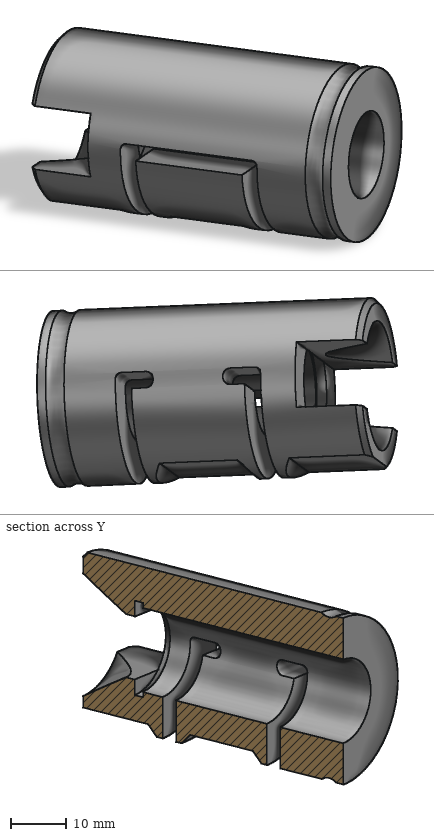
import cadquery as cq
import math

length = 60.0
outer_diameter = 32.0
outer_radius = outer_diameter / 2
bore_diameter = 16.0
counterbore_diameter = 18.0
counterbore_depth = 1.8
end_chamfer = 1.0

cross_slot_width = 12.0
cross_slot_depth = 12.0
lead_in_diameter = 23.5
lead_in_half_angle = 30.0

groove_start = 54.95
groove_end = 58.4
groove_depth = 0.55

cut_width = 3.0
tongue_center = 31.9
tongue_length = 21.0
hinge_length = 12.95
cut_corner_radius = 1.2
cut_end_radius = 1.45

flat_height = -14.0
front_flat_length = 15.0
tongue_flat_length = 14.4

oversize = 2 * outer_diameter


def revolve_about_axis(profile):
    """Turn an (x, radius) profile around the X axis."""
    return profile.close().revolve(360, (0, 0, 0), (1, 0, 0))


def block(x_start, x_end, y_start, y_end, z_start, z_end):
    """Box given by its limits."""
    return cq.Workplane("XY").box(
        x_end - x_start, y_end - y_start, z_end - z_start, centered=False
    ).translate((x_start, y_start, z_start))


def make_body():
    return revolve_about_axis(
        cq.Workplane("XZ")
        .lineTo(0, outer_radius - end_chamfer)
        .lineTo(end_chamfer, outer_radius)
        .lineTo(groove_start, outer_radius)
        .threePointArc(
            ((groove_start + groove_end) / 2, outer_radius - groove_depth),
            (groove_end, outer_radius),
        )
        .lineTo(length, outer_radius)
        .lineTo(length, 0)
    )


def make_lead_in():
    radius = lead_in_diameter / 2
    depth = radius / math.tan(math.radians(lead_in_half_angle))
    end_radius = radius * (1 - cross_slot_depth / depth)
    return revolve_about_axis(
        cq.Workplane("XZ")
        .lineTo(0, radius)
        .lineTo(cross_slot_depth, end_radius)
        .lineTo(cross_slot_depth, 0)
    )


def make_bore():
    """Through bore, counterbored from the cross slot floor."""
    bore_radius = bore_diameter / 2
    counterbore_radius = counterbore_diameter / 2
    step = cross_slot_depth + counterbore_depth
    return revolve_about_axis(
        cq.Workplane("XZ")
        .moveTo(cross_slot_depth, 0)
        .lineTo(cross_slot_depth, counterbore_radius)
        .lineTo(step, counterbore_radius)
        .lineTo(step, bore_radius)
        .lineTo(length, bore_radius)
        .lineTo(length, 0)
    )


def make_cross_slot():
    half = cross_slot_width / 2
    return block(0, cross_slot_depth, -oversize, oversize, -half, half)


def make_tongue_cuts():
    """Cuts around the tongue; a hinge on the +Y side keeps it attached."""
    half_tongue = tongue_length / 2
    half_window = half_tongue + cut_width
    half_cut = cut_width / 2
    window = block(
        tongue_center - half_window, tongue_center + half_window,
        -oversize, oversize, -oversize, half_cut,
    )
    window = window.edges("|Y and >Z").fillet(cut_corner_radius)
    tongue = block(
        tongue_center - half_tongue, tongue_center + half_tongue,
        -oversize, oversize, -oversize, -half_cut,
    )
    hinge = block(
        tongue_center - half_window, tongue_center + half_window,
        0, oversize, -half_cut, half_cut,
    )
    for side in (-1, 1):
        outer_end = tongue_center + side * half_window
        inner_end = tongue_center + side * hinge_length / 2
        relief = block(
            min(outer_end, inner_end), max(outer_end, inner_end),
            0, oversize, -half_cut, half_cut,
        )
        inner_edges = "|Y and <X" if side > 0 else "|Y and >X"
        hinge = hinge.cut(relief.edges(inner_edges).fillet(cut_end_radius))
    return window.cut(tongue).cut(hinge)


def make_flat_cut(x_start, x_end):
    """Material below a flat, widening downward along a ramp at each end."""
    drop = outer_radius
    return (
        cq.Workplane("XZ")
        .moveTo(x_start, flat_height)
        .lineTo(x_end, flat_height)
        .lineTo(x_end + drop, flat_height - drop)
        .lineTo(x_start - drop, flat_height - drop)
        .close()
        .extrude(outer_diameter, both=True)
    )


tongue_flat_start = tongue_center - tongue_flat_length / 2

result = (
    make_body()
    .cut(make_lead_in())
    .cut(make_bore())
    .cut(make_cross_slot())
    .cut(make_tongue_cuts())
    .cut(make_flat_cut(0, front_flat_length))
    .cut(make_flat_cut(tongue_flat_start, tongue_flat_start + tongue_flat_length))
)